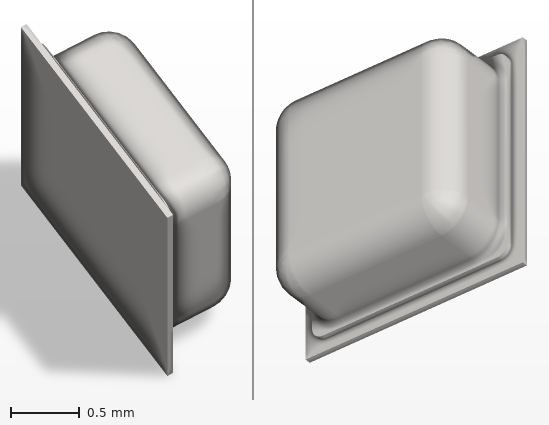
import cadquery as cq

plate_side = 2
plate_thickness = 0.05

flange_side = 1.8
flange_thickness = 0.05
flange_corner_radius = 0.1
total_depth = 0.75
can_side = 1.7
can_radius = 0.24
clearance = 0.0002
top_radius = can_radius - clearance
foot_radius = (flange_side - can_side) / 2 - clearance

pad_length = 0.27
pad_width = 0.25
pad_pitch = 0.5
edge_margin = 0.1
pad_edge = plate_side / 2 - edge_margin
pad_center = pad_edge - pad_length / 2
marker_leg = 0.12

flange_top = plate_thickness + flange_thickness


def face_at(depth):
    """XZ sketch plane facing +Y at the given depth: local x is +X, local y is -Z."""
    return cq.Workplane(cq.Plane((0, depth, 0), xDir=(1, 0, 0), normal=(0, 1, 0)))


def square_slab(side, depth, thickness):
    return face_at(depth).rect(side, side).extrude(thickness)


def make_lid():
    flange = square_slab(flange_side, plate_thickness, flange_thickness)
    flange = flange.edges("|Y").fillet(flange_corner_radius)

    can = square_slab(can_side, flange_top, total_depth - flange_top)
    can = can.edges("|Y").fillet(can_radius)
    can = can.faces(">Y").edges().fillet(top_radius)

    half_can = can_side / 2 + clearance
    foot = cq.selectors.BoxSelector(
        (-half_can, flange_top - clearance, -half_can), (half_can, flange_top + clearance, half_can)
    )
    return flange.union(can).edges(foot).fillet(foot_radius)


def make_pads():
    """Two columns of three pads at the sides and two pads at top and bottom."""
    side_pads = [(x, row * pad_pitch) for x in (-pad_center, pad_center) for row in (-1, 0, 1)]
    end_pads = [(col * pad_pitch, z) for z in (-pad_center, pad_center) for col in (-0.5, 0.5)]
    pads = face_at(0).pushPoints(side_pads).rect(pad_length, pad_width).extrude(plate_thickness)
    ends = face_at(0).pushPoints(end_pads).rect(pad_width, pad_length).extrude(plate_thickness)
    return pads.add(ends)


def make_marker():
    """Triangular pin-one mark in the +X, -Z corner."""
    corner = [(pad_edge, pad_edge), (pad_edge - marker_leg, pad_edge), (pad_edge, pad_edge - marker_leg)]
    return face_at(0).polyline(corner).close().extrude(plate_thickness)


body = square_slab(plate_side, 0, plate_thickness).union(make_lid())
for inlay in make_pads().vals() + make_marker().vals():
    body = body.union(cq.Workplane(inlay), clean=False)

result = body